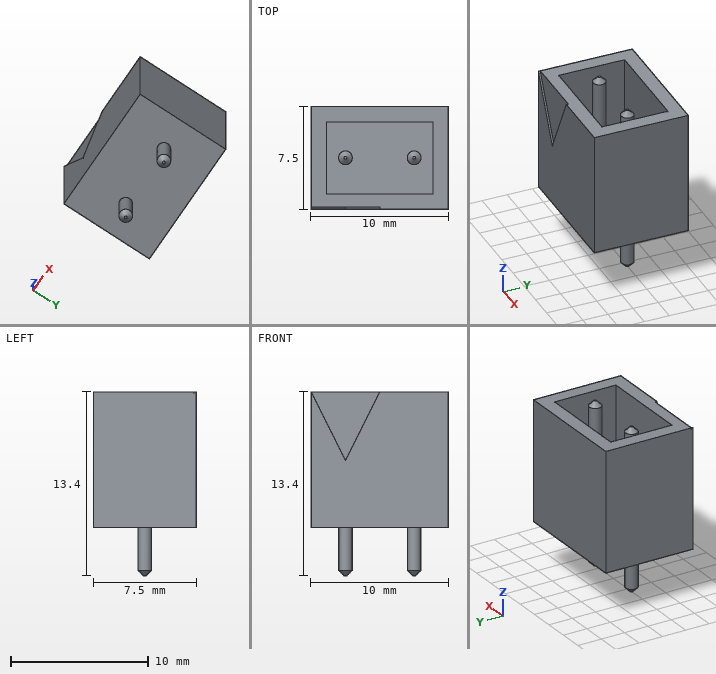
import cadquery as cq

HOUSING_LENGTH = 10.0
HOUSING_WIDTH = 7.5
HOUSING_HEIGHT = 9.9
WALL = 1.125
FLOOR = WALL

PIN_COUNT = 2
PIN_PITCH = 5.0
PIN_DIAMETER = 1.0
PIN_TAIL = 3.5
PIN_LENGTH = HOUSING_HEIGHT + PIN_TAIL
TIP_DIAMETER = 0.2
TIP_HEIGHT = (PIN_DIAMETER - TIP_DIAMETER) / 2

MARK_SIDE = HOUSING_LENGTH / 2
MARK_DEPTH = 0.15

pin_positions = [((i - (PIN_COUNT - 1) / 2) * PIN_PITCH, 0) for i in range(PIN_COUNT)]


def make_pin(x, y):
    """Round pin with a conical tip at each end."""
    return (
        cq.Workplane("XY", origin=(x, y, -PIN_TAIL))
        .circle(PIN_DIAMETER / 2)
        .extrude(PIN_LENGTH)
        .edges("%CIRCLE")
        .chamfer(TIP_HEIGHT)
    )


def make_mark():
    """Triangular cutter running from the -Y face into the wall."""
    left = -HOUSING_LENGTH / 2
    return (
        cq.Workplane("XZ", origin=(0, -HOUSING_WIDTH / 2, 0))
        .moveTo(left, HOUSING_HEIGHT)
        .lineTo(left + MARK_SIDE, HOUSING_HEIGHT)
        .lineTo(left + MARK_SIDE / 2, HOUSING_HEIGHT - MARK_SIDE)
        .close()
        .extrude(-MARK_DEPTH)
    )


def make_housing():
    """Box with a rectangular cavity, pin holes through the floor and the pin-one mark."""
    box = cq.Workplane("XY").rect(HOUSING_LENGTH, HOUSING_WIDTH).extrude(HOUSING_HEIGHT)
    cavity = (
        cq.Workplane("XY", origin=(0, 0, FLOOR))
        .rect(HOUSING_LENGTH - 2 * WALL, HOUSING_WIDTH - 2 * WALL)
        .extrude(HOUSING_HEIGHT - FLOOR)
    )
    pin_holes = cq.Workplane("XY").pushPoints(pin_positions).circle(PIN_DIAMETER / 2).extrude(FLOOR)
    return box.cut(cavity).cut(pin_holes).cut(make_mark())


housing = make_housing()
pins = [make_pin(x, y) for x, y in pin_positions]

result = cq.Compound.makeCompound([housing.val(), *[pin.val() for pin in pins]])